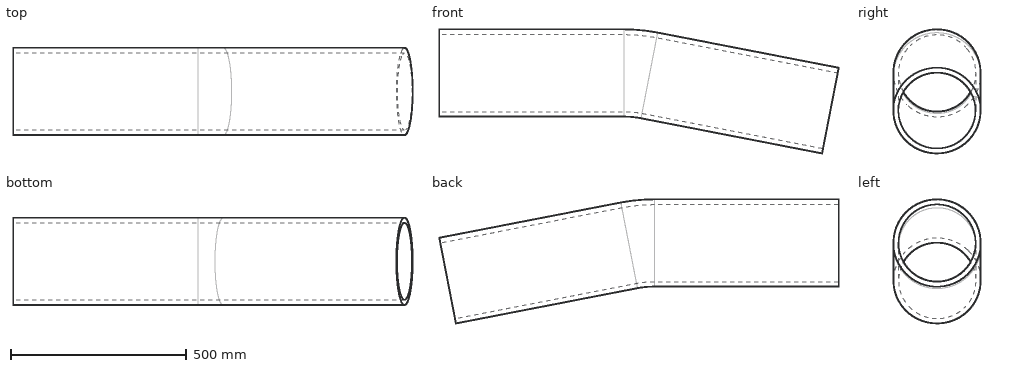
import cadquery as cq
import math

overall_length = 1140.0
outer_diameter = 250.0
bore_diameter = 220.0
bend_angle = 11.0
bend_radius = 1.5 * outer_diameter

angle = math.radians(bend_angle)
bend_reach = (bend_radius + outer_diameter / 2) * math.sin(angle)
leg_length = (overall_length - bend_reach) / (1 + math.cos(angle))

bend_start = (leg_length, 0)


def point_on_bend(turn):
    """Centreline point after turning by the given angle in radians."""
    return (
        leg_length + bend_radius * math.sin(turn),
        -bend_radius * (1 - math.cos(turn)),
    )


bend_end = point_on_bend(angle)
outlet = (
    bend_end[0] + leg_length * math.cos(angle),
    bend_end[1] - leg_length * math.sin(angle),
)
centreline = (
    cq.Workplane("XZ")
    .lineTo(*bend_start)
    .threePointArc(point_on_bend(angle / 2), bend_end)
    .lineTo(*outlet)
)

result = (
    cq.Workplane("YZ")
    .circle(outer_diameter / 2)
    .circle(bore_diameter / 2)
    .sweep(centreline)
)